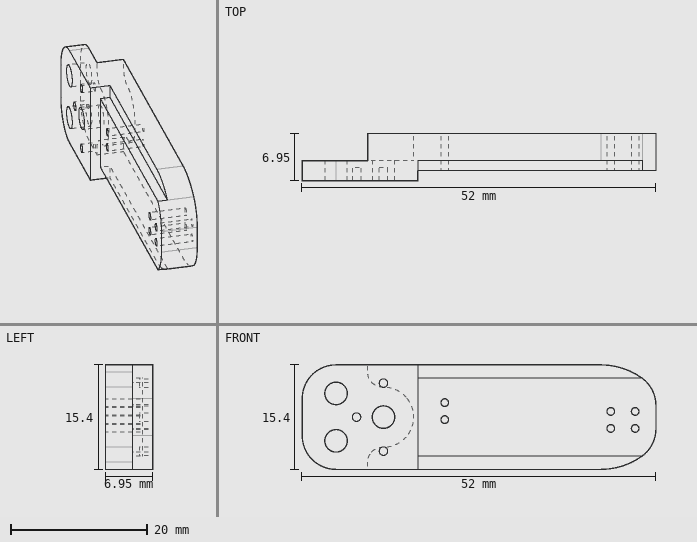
import cadquery as cq
import math

length = 52.05
height = 15.4
half_height = height / 2
plate_thickness = 2.95
bar_thickness = 4.0

plate_end = 17.0
plate_corner_radius = 5.0

bar_start = 9.65
rail_height = 11.45
rail_thickness = 1.45

taper_radius = 10.35
tip_radius = 5.0
blend_x = 50.0
blend_z = rail_height / 2

pivot_x = 11.95
outer_hole_x = 5.0
outer_hole_z = 3.5
bolt_diameter = 3.3
pin_diameter = 1.25
pin_x = 8.0
pin_z = 5.0
pin_depth = 2.0
screw_diameter = 1.1
screw_pitch = 2.5
near_screw_x = 21.0
near_screw_z = 0.9
far_screw_xs = (45.4, 49.0)
far_screw_z = -0.4

mouth_half_height = 6.6
mouth_radius = 2.2


def slab(outline, y_front, y_back):
    """Extrude a closed XZ outline between two Y positions."""
    return outline.extrude(y_front - y_back).translate((0, y_front, 0))


def xz():
    return cq.Workplane("XZ")


def drill(points, diameter, y_front, y_back):
    return slab(xz().pushPoints(points).circle(diameter / 2), y_front, y_back)


def bar_outline():
    blend_angle = math.acos(1 - (half_height - blend_z) / taper_radius)
    taper_start = blend_x - taper_radius * math.sin(blend_angle)
    taper_mid = (
        taper_start + taper_radius * math.sin(blend_angle / 2),
        half_height - taper_radius * (1 - math.cos(blend_angle / 2)),
    )
    tip_center_x = length - tip_radius
    tip_center_z = blend_z - math.sqrt(tip_radius**2 - (blend_x - tip_center_x) ** 2)
    tip_mid_angle = math.atan2(blend_z - tip_center_z, blend_x - tip_center_x) / 2
    tip_mid = (
        tip_center_x + tip_radius * math.cos(tip_mid_angle),
        tip_center_z + tip_radius * math.sin(tip_mid_angle),
    )
    return (
        xz()
        .moveTo(bar_start, half_height)
        .lineTo(taper_start, half_height)
        .threePointArc(taper_mid, (blend_x, blend_z))
        .threePointArc(tip_mid, (length, tip_center_z))
        .lineTo(length, -tip_center_z)
        .threePointArc((tip_mid[0], -tip_mid[1]), (blend_x, -blend_z))
        .threePointArc((taper_mid[0], -taper_mid[1]), (taper_start, -half_height))
        .lineTo(bar_start, -half_height)
        .close()
    )


def relief_outline():
    """Circle around the pivot, joined to the bar end by a tangent rounding on each side."""
    round_x = bar_start + mouth_radius
    to_pivot = math.atan2(-mouth_half_height, pivot_x - round_x)
    relief_radius = math.hypot(pivot_x - round_x, mouth_half_height) - mouth_radius
    join_x = round_x + mouth_radius * math.cos(to_pivot)
    join_z = mouth_half_height + mouth_radius * math.sin(to_pivot)
    mid_angle = (to_pivot - math.pi) / 2
    mid_x = round_x + mouth_radius * math.cos(mid_angle)
    mid_z = mouth_half_height + mouth_radius * math.sin(mid_angle)
    return (
        xz()
        .moveTo(bar_start, mouth_half_height)
        .threePointArc((mid_x, mid_z), (join_x, join_z))
        .threePointArc((pivot_x + relief_radius, 0), (join_x, -join_z))
        .threePointArc((mid_x, -mid_z), (bar_start, -mouth_half_height))
        .close()
    )


plate = slab(xz().center(plate_end / 2, 0).rect(plate_end, height), -plate_thickness, 0)
plate = plate.edges("|Y and <X").fillet(plate_corner_radius)

bar = slab(bar_outline(), 0, bar_thickness).cut(slab(relief_outline(), 0, bar_thickness))

rail_length = length - plate_end
rail_strip = xz().center(plate_end + rail_length / 2, 0).rect(rail_length, rail_height)
rail = slab(bar_outline(), -rail_thickness, 0).intersect(slab(rail_strip, -rail_thickness, 0))

result = plate.union(bar).union(rail)

bolt_points = [(outer_hole_x, outer_hole_z), (outer_hole_x, -outer_hole_z), (pivot_x, 0)]
result = result.cut(drill(bolt_points, bolt_diameter, -plate_thickness, 0))

pin_points = [(pin_x, 0), (pivot_x, pin_z), (pivot_x, -pin_z)]
result = result.cut(drill(pin_points, pin_diameter, -plate_thickness, pin_depth - plate_thickness))

for x, z in [(near_screw_x, near_screw_z)] + [(x, far_screw_z) for x in far_screw_xs]:
    pair = [(x, z + screw_pitch / 2), (x, z - screw_pitch / 2)]
    result = result.cut(drill(pair, screw_diameter, -rail_thickness, bar_thickness))